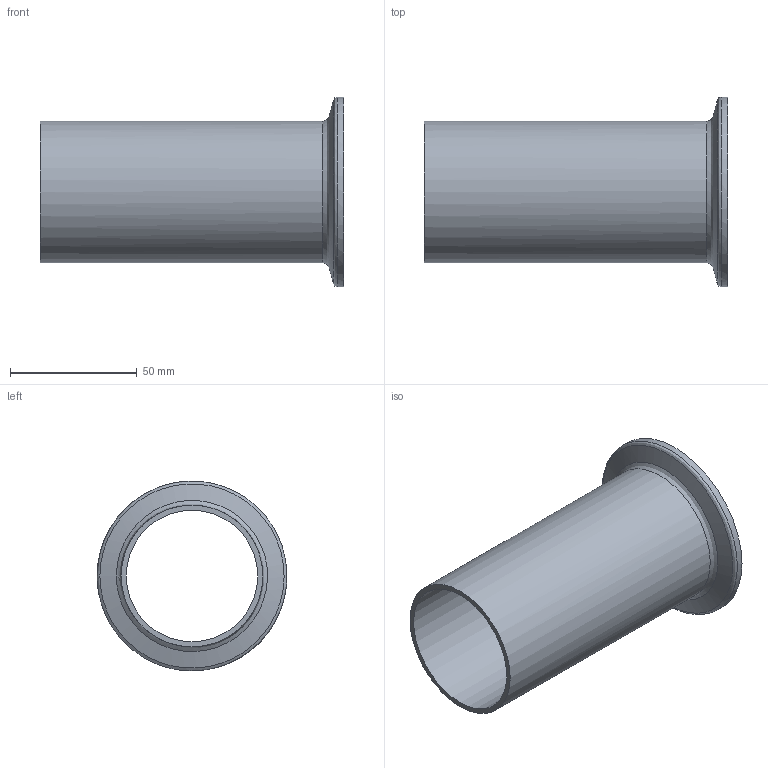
import cadquery as cq
import math

total_length = 120.0
bore_diameter = 52.0
tube_diameter = 56.0
flange_diameter = 75.0
rim_thickness = 3.8
taper_angle = 15.0
rim_fillet_radius = 1.5
root_fillet_radius = 2.5

bore_radius = bore_diameter / 2
tube_radius = tube_diameter / 2
flange_radius = flange_diameter / 2

taper_length = (flange_radius - tube_radius) * math.tan(math.radians(taper_angle))
rim_x = total_length - rim_thickness
root_x = rim_x - taper_length


def make_ferrule_blank():
    """Tube and flange revolved about X from one sharp-cornered half section."""
    half_section = (
        cq.Workplane("XY")
        .moveTo(0, bore_radius)
        .lineTo(0, tube_radius)
        .lineTo(root_x, tube_radius)
        .lineTo(rim_x, flange_radius)
        .lineTo(total_length, flange_radius)
        .lineTo(total_length, bore_radius)
        .close()
    )
    return half_section.revolve(360, (0, 0, 0), (1, 0, 0))


def is_circle_at(edge, x, circle_radius, tolerance=1e-4):
    """Tell whether an edge is a circle about X at the given position and radius."""
    if edge.geomType() != "CIRCLE":
        return False
    same_x = abs(edge.Center().x - x) < tolerance
    return same_x and abs(edge.radius() - circle_radius) < tolerance


def fillet_circle(body, x, circle_radius, fillet_radius):
    """Round the circular edge that lies at the given X position and radius."""
    circle = body.edges().filter(lambda edge: is_circle_at(edge, x, circle_radius))
    return circle.fillet(fillet_radius)


ferrule = make_ferrule_blank()
ferrule = fillet_circle(ferrule, root_x, tube_radius, root_fillet_radius)
ferrule = fillet_circle(ferrule, rim_x, flange_radius, rim_fillet_radius)

result = ferrule